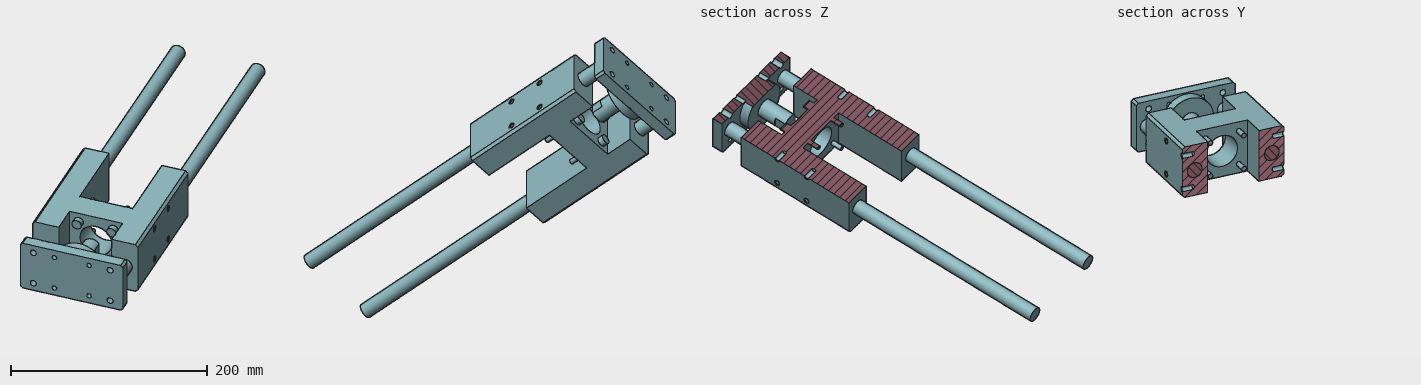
import cadquery as cq

total_length = 407.0
rod_diameter = 16.0
rod_offset_x = 43.5
bolt_pitch = 38.0

housing_width = 115.0
housing_height = 58.0
housing_front = 38.0
housing_length = 139.5
housing_chamfer = 3.0
notch_width = 57.8
web_front = 68.0
web_thickness = 28.0
web_bore_diameter = 35.0
screw_shank_diameter = 5.3
screw_head_diameter = 10.0
screw_head_height = 6.0
screw_projection = 12.2
side_hole_diameter = 5.0
side_hole_mouth_diameter = 6.5
side_hole_depth = 12.2
side_hole_tip_length = 1.42
side_hole_centre_y = 103.5
housing_back = housing_front + housing_length
web_back = web_front + web_thickness

plate_width = 112.0
plate_height = 55.8
plate_thickness = 12.0
plate_chamfer = 2.5
outer_hole_diameter = 6.5
outer_hole_pitch_x = 84.0
inner_hole_diameter = 5.0
flange_diameter = 53.0
flange_back = 22.5
stud_diameter = 20.0
flats_start = 43.5
flats_width = 16.0
stud_back = 56.0


def cylinder_y(diameter, start, end, x=0, z=0):
    """Cylinder along Y from start to end."""
    return cq.Workplane(cq.Solid.makeCylinder(
        diameter / 2, end - start, cq.Vector(x, start, z), cq.Vector(0, 1, 0)))


def box_y(width, height, start, end):
    """Box centred in X and Z that runs from start to end along Y."""
    return cq.Workplane("XY").box(width, end - start, height).translate((0, (start + end) / 2, 0))


def grid_points(pitch_a, pitch_b):
    """Four corners of a centred rectangle."""
    return [(a * pitch_a / 2, b * pitch_b / 2) for a in (-1, 1) for b in (-1, 1)]


def make_side_hole(side, y, z):
    """Blind hole with a countersunk mouth and conical end, in the left (-1) or right (+1) side."""
    start = cq.Vector(side * housing_width / 2, y, z)
    inward = cq.Vector(-side, 0, 0)
    drill = cq.Solid.makeCylinder(side_hole_diameter / 2, side_hole_depth, start, inward)
    mouth_depth = (side_hole_mouth_diameter - side_hole_diameter) / 2
    mouth = cq.Solid.makeCone(side_hole_mouth_diameter / 2, side_hole_diameter / 2, mouth_depth, start, inward)
    drill_end = start + inward * side_hole_depth
    tip = cq.Solid.makeCone(side_hole_diameter / 2, 0, side_hole_tip_length, drill_end, inward)
    return cq.Workplane(drill).union(cq.Workplane(mouth)).union(cq.Workplane(tip))


def make_housing():
    """H-shaped housing with its four fixed screws."""
    body = box_y(housing_width, housing_height, housing_front, housing_back)
    body = body.edges("|Y").chamfer(housing_chamfer)
    body = body.cut(box_y(notch_width, housing_height, housing_front, web_front))
    body = body.cut(box_y(notch_width, housing_height, web_back, housing_back))
    body = body.cut(cylinder_y(web_bore_diameter, web_front, web_back))
    for side in (-1, 1):
        body = body.cut(cylinder_y(rod_diameter, housing_front, housing_back, x=side * rod_offset_x))
        for y, z in grid_points(bolt_pitch, bolt_pitch):
            body = body.cut(make_side_hole(side, side_hole_centre_y + y, z))
    for x, z in grid_points(bolt_pitch, bolt_pitch):
        body = body.union(cylinder_y(screw_head_diameter, web_front - screw_head_height, web_front, x, z))
        body = body.union(cylinder_y(screw_shank_diameter, web_back, web_back + screw_projection, x, z))
    return body


def make_stud():
    """Round stud whose tip is narrowed in X by two wrench flats."""
    shank = cylinder_y(stud_diameter, flange_back, flats_start)
    flats = box_y(flats_width, stud_diameter, flats_start, stud_back)
    return shank.union(cylinder_y(stud_diameter, flats_start, stud_back).intersect(flats))


def make_slide():
    """Front plate carrying the two guide rods and the flanged stud."""
    body = box_y(plate_width, plate_height, 0, plate_thickness)
    body = body.edges("|Y").chamfer(plate_chamfer)
    body = body.union(cylinder_y(flange_diameter, plate_thickness, flange_back))
    body = body.union(make_stud())
    for side in (-1, 1):
        body = body.union(cylinder_y(rod_diameter, plate_thickness, total_length, x=side * rod_offset_x))
    for x, z in grid_points(outer_hole_pitch_x, bolt_pitch):
        body = body.cut(cylinder_y(outer_hole_diameter, 0, plate_thickness, x, z))
    for x, z in grid_points(bolt_pitch, bolt_pitch):
        body = body.cut(cylinder_y(inner_hole_diameter, 0, plate_thickness, x, z))
    return body


housing = make_housing()
slide = make_slide()
result = cq.Compound.makeCompound([housing.val(), slide.val()])